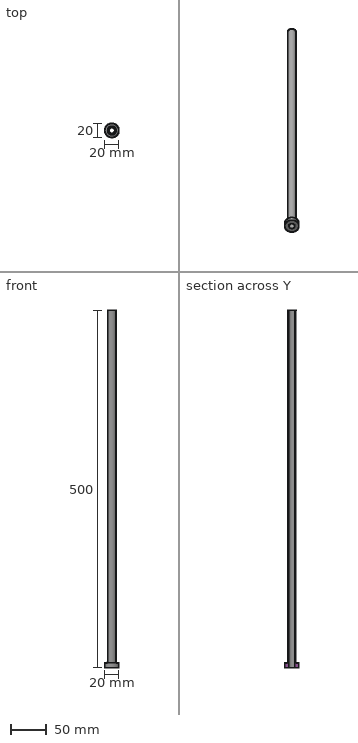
import cadquery as cq

total_length = 500.0
shaft_diameter = 12.0
bore_diameter = 8.0
head_diameter = 20.0
head_thickness = 7.0
neck_fillet_radius = 0.8

shaft_radius = shaft_diameter / 2
head_radius = head_diameter / 2
neck_top = head_thickness + neck_fillet_radius
neck_edge_radius = shaft_radius + neck_fillet_radius


def sleeve_blank():
    """Headed shaft, revolved about Z, with a concave fillet under the neck."""
    profile = (
        cq.Workplane("XZ")
        .moveTo(0, 0)
        .lineTo(head_radius, 0)
        .lineTo(head_radius, head_thickness)
        .lineTo(neck_edge_radius, head_thickness)
        .radiusArc((shaft_radius, neck_top), neck_fillet_radius)
        .lineTo(shaft_radius, total_length)
        .lineTo(0, total_length)
        .close()
    )
    axis_start = (0, 0)
    axis_end = (0, 1)
    return profile.revolve(360, axis_start, axis_end)


def through_bore():
    """Straight bore running the full length of the sleeve."""
    return cq.Workplane("XY").circle(bore_diameter / 2).extrude(total_length)


result = sleeve_blank().cut(through_bore())